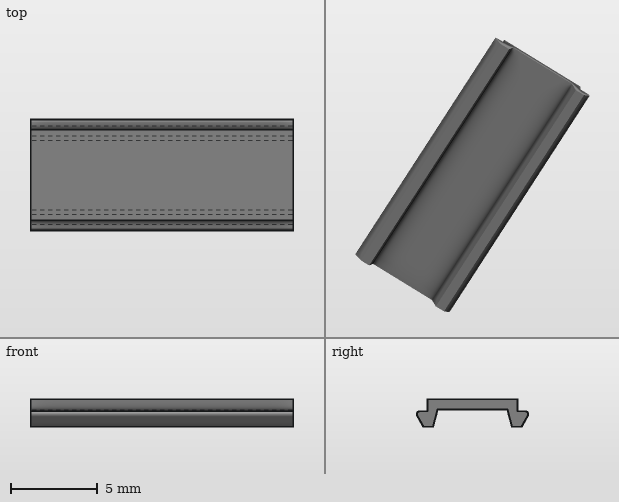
import cadquery as cq
import math

length = 15.1
width = 6.4
height = 1.6

plate_width = 5.2
plate_thickness = 0.6

ledge_depth = 0.7
ledge_radius = 0.18
underside_radius = 0.24
foot_outer_width = 5.65
foot_inner_width = 4.53

channel_top_width = 4.0

ledge_z = height - ledge_depth
channel_z = height - plate_thickness

nose_z = ledge_z - ledge_radius
ledge_center_y = width / 2 - ledge_radius
underside_center_y = width / 2 - underside_radius

offset_y = underside_center_y - foot_outer_width / 2
foot_to_center = math.hypot(offset_y, nose_z)
foot_tilt = math.asin(offset_y / foot_to_center) + math.asin(underside_radius / foot_to_center)


def nose_point(center_y, radius, angle):
    """Point on a nose round, with the angle in radians above the outward direction."""
    return (center_y + radius * math.cos(angle), nose_z + radius * math.sin(angle))


half_section = (
    cq.Workplane("YZ")
    .moveTo(0, height)
    .lineTo(plate_width / 2, height)
    .lineTo(plate_width / 2, ledge_z)
    .lineTo(ledge_center_y, ledge_z)
    .threePointArc(nose_point(ledge_center_y, ledge_radius, math.pi / 4), (width / 2, nose_z))
    .threePointArc(
        nose_point(underside_center_y, underside_radius, -foot_tilt / 2),
        nose_point(underside_center_y, underside_radius, -foot_tilt),
    )
    .lineTo(foot_outer_width / 2, 0)
    .lineTo(foot_inner_width / 2, 0)
    .lineTo(channel_top_width / 2, channel_z)
    .lineTo(0, channel_z)
    .close()
)

half_rail = half_section.extrude(length / 2, both=True)
result = half_rail.union(half_rail.mirror("XZ")).clean()